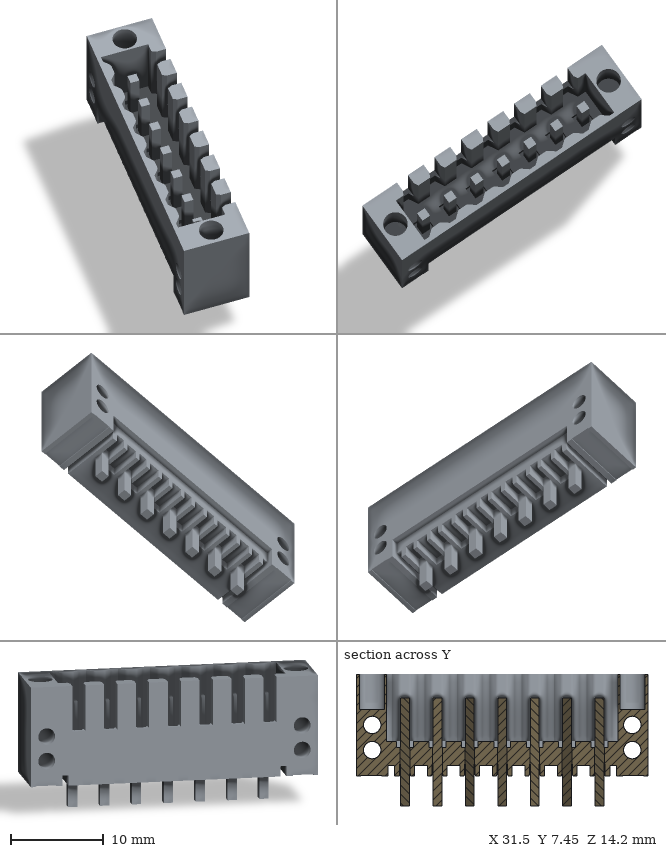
import cadquery as cq


LENGTH = 31.5
DEPTH = 7.45
HEIGHT = 11.02
FRONT = -DEPTH / 2
REAR = DEPTH / 2

PIN_COUNT = 7
PITCH = 3.5
PIN_WIDTH = 1.0
PIN_Y = -0.25
PIN_TIP_Z = 8.47
PIN_TAIL_Z = -3.2
PIN_FRONT = PIN_Y - PIN_WIDTH / 2
PIN_REAR = PIN_Y + PIN_WIDTH / 2
PIN_XS = [PITCH * (i - (PIN_COUNT - 1) / 2) for i in range(PIN_COUNT)]
GAP_XS = [x + PITCH / 2 for x in PIN_XS[:-1]]

FRONT_WALL = 0.47
REAR_WALL = 1.6
CAVITY_LENGTH = 24.95
CAVITY_FLOOR_Z = 3.78
CAVITY_HEIGHT = HEIGHT - CAVITY_FLOOR_Z
CAVITY_FRONT = FRONT + FRONT_WALL
CAVITY_REAR = REAR - REAR_WALL
POCKET_WIDTH = 1.75
POCKET_DEPTH = 0.63

RIDGE_BASE = 2.75
RIDGE_CREST = 1.13
RIDGE_HEIGHT = 0.65
RIDGE_ROUNDING = 0.47

GROOVE_MOUTH = 1.95
GROOVE_BOTTOM = 0.82
GROOVE_DEPTH = 1.07
WINDOW_WIDTH = 1.45
WINDOW_SILL_Z = 6.0

END_HOLE_X = 14.02
SCREW_HOLE_DIAMETER = 2.65
SCREW_HOLE_DEPTH = 3.78
CROSS_HOLE_DIAMETER = 1.83
CROSS_HOLE_ZS = (2.85, 5.55)

FOOT_GROOVE_X = 14.1
FOOT_GROOVE_WIDTH = 2.27
FOOT_GROOVE_DEPTH = 0.1

RECESS_LENGTH = 24.57
RECESS_DEPTH = 0.72
RECESS_TOP_Z = 2.8
COMB_FRONT = FRONT + RECESS_DEPTH
COMB_LENGTH = 23.25
COMB_GAP_WIDTH = 1.35
COMB_GAP_TOP_Z = 1.13
END_NOTCH_WIDTH = (RECESS_LENGTH - COMB_LENGTH) / 2
END_NOTCH_X = (RECESS_LENGTH - END_NOTCH_WIDTH) / 2

SLOT_WIDTH = 1.07
SLOT_MOUTH = 1.2
SLOT_FLARE_HEIGHT = 0.3
SLOT_TOP_Z = 1.3


def block(x, width, y_min, y_max, z_min, z_max):
    """Rectangular block centred on x, between the given Y and Z limits."""
    return (
        cq.Workplane("XY", origin=(x, y_min, z_min))
        .box(width, y_max - y_min, z_max - z_min, centered=(True, False, False))
    )


def trapezoid_column(x, y, base, top, rise):
    """Upright trapezoid from the cavity floor to the housing top, tapering toward +Y."""
    outline = [(-base / 2, 0), (-top / 2, rise), (top / 2, rise), (base / 2, 0)]
    return (
        cq.Workplane("XY", origin=(x, y, CAVITY_FLOOR_Z))
        .polyline(outline)
        .close()
        .extrude(CAVITY_HEIGHT)
    )


def ridge(x):
    column = trapezoid_column(x, CAVITY_FRONT, RIDGE_BASE, RIDGE_CREST, RIDGE_HEIGHT)
    return column.edges("|Z and >Y").fillet(RIDGE_ROUNDING)


def keying_groove(x):
    return trapezoid_column(x, CAVITY_REAR, GROOVE_MOUTH, GROOVE_BOTTOM, GROOVE_DEPTH)


def rear_window(x):
    return block(x, WINDOW_WIDTH, CAVITY_REAR, REAR, WINDOW_SILL_Z, HEIGHT)


def pin_pocket(x):
    half = POCKET_WIDTH / 2
    floor_z = CAVITY_FLOOR_Z - POCKET_DEPTH
    return block(x, POCKET_WIDTH, PIN_Y - half, PIN_Y + half, floor_z, CAVITY_FLOOR_Z)


def pin_slot(x):
    """Slot from the comb face back to the rear of the pin, open at the underside."""
    outline = [
        (-SLOT_MOUTH / 2, 0),
        (-SLOT_WIDTH / 2, SLOT_FLARE_HEIGHT),
        (-SLOT_WIDTH / 2, SLOT_TOP_Z),
        (SLOT_WIDTH / 2, SLOT_TOP_Z),
        (SLOT_WIDTH / 2, SLOT_FLARE_HEIGHT),
        (SLOT_MOUTH / 2, 0),
    ]
    return (
        cq.Workplane("XZ", origin=(x, PIN_REAR, 0))
        .polyline(outline)
        .close()
        .extrude(PIN_REAR - COMB_FRONT)
    )


def comb_gap(x):
    return block(x, COMB_GAP_WIDTH, COMB_FRONT, PIN_REAR, 0, COMB_GAP_TOP_Z)


def end_notch(side):
    """Notch through the full depth, between the comb and an end block."""
    return block(side * END_NOTCH_X, END_NOTCH_WIDTH, FRONT, REAR, 0, COMB_GAP_TOP_Z)


def foot_groove(side):
    return block(side * FOOT_GROOVE_X, FOOT_GROOVE_WIDTH, FRONT, REAR, 0, FOOT_GROOVE_DEPTH)


def screw_hole(side):
    return (
        cq.Workplane("XY", origin=(side * END_HOLE_X, 0, HEIGHT))
        .circle(SCREW_HOLE_DIAMETER / 2)
        .extrude(-SCREW_HOLE_DEPTH)
    )


def cross_hole(side, z):
    """Hole through an end block from front to rear."""
    return (
        cq.Workplane("XZ", origin=(side * END_HOLE_X, REAR, z))
        .circle(CROSS_HOLE_DIAMETER / 2)
        .extrude(DEPTH)
    )


def make_pin(x):
    return block(x, PIN_WIDTH, PIN_FRONT, PIN_REAR, PIN_TAIL_Z, PIN_TIP_Z)


def make_housing():
    body = block(0, LENGTH, FRONT, REAR, 0, HEIGHT)

    body = body.cut(block(0, CAVITY_LENGTH, CAVITY_FRONT, CAVITY_REAR, CAVITY_FLOOR_Z, HEIGHT))
    body = body.cut(block(0, RECESS_LENGTH, FRONT, COMB_FRONT, 0, RECESS_TOP_Z))

    for x in PIN_XS:
        body = body.union(ridge(x))
        for cutter in (keying_groove, rear_window, pin_pocket, pin_slot, make_pin):
            body = body.cut(cutter(x))

    for x in GAP_XS:
        body = body.cut(comb_gap(x))

    for side in (-1, 1):
        for cutter in (end_notch, foot_groove, screw_hole):
            body = body.cut(cutter(side))
        for z in CROSS_HOLE_ZS:
            body = body.cut(cross_hole(side, z))
    return body


housing = make_housing()
pins = [make_pin(x) for x in PIN_XS]

result = cq.Compound.makeCompound([housing.val(), *[pin.val() for pin in pins]])